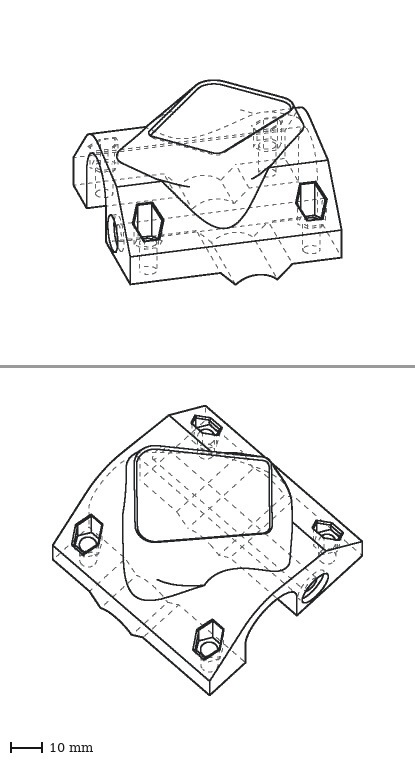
import cadquery as cq
import math

BLOCK_SIDE = 70.0
HALF = BLOCK_SIDE / 2
OVERALL_HEIGHT = 43.0
SADDLE_DROP = 5.0
BOSS_TOP = OVERALL_HEIGHT - SADDLE_DROP
SHOULDER_HEIGHT = 10.0
OVER = 0.7

CHANNEL_X = -6.8
CHANNEL_Z = 12.9
CHANNEL_RADIUS = 11.75
BACK_RADIUS = 17.9
ROOF_ANGLE = math.radians(9.8)
DIAGONAL = math.radians(45)

SADDLE_Y = -CHANNEL_X
SADDLE_TOP_HALF_WIDTH = 11.9
SADDLE_RADIUS = 10.5

BOLT_OFFSET = 27.0
BOLT_DIAMETER = 5.5
NUT_FLATS = 8.0
NUT_BEVEL = 0.5
NUT_FLOOR = SHOULDER_HEIGHT

SIDE_HOLE_X = 13.45
SIDE_HOLE_Z = 7.35
SIDE_HOLE_DIAMETER = 5.5
SIDE_BORE_DIAMETER = 12.0
SIDE_BORE_DEPTH = 2.0

BOSS_WAIST = 27.0
BOSS_HALF_LENGTH = 27.1
BOSS_HALF_WIDTH = 23.8
BOSS_END_RADIUS = 6.0
BOSS_FOOT_RADIUS = 2.8
BOSS_WAIST_RADIUS = 20.0
BOSS_TOP_CORNERS = [(-26.5, 6.4), (6.8, -22.25), (26.0, -3.2), (-0.9, 32.0)]
BOSS_TOP_RADII = [6.45, 3.0, 2.95, 6.65]
RECESS_DEPTH = 1.0
RECESS_INSET = 0.8


def rounded_outline(corners, radii, z):
    """Closed wire at height z through straight sides and one arc per corner."""
    arcs = []
    count = len(corners)
    for i in range(count):
        corner = cq.Vector(*corners[i], z)
        to_previous = (cq.Vector(*corners[i - 1], z) - corner).normalized()
        to_next = (cq.Vector(*corners[(i + 1) % count], z) - corner).normalized()
        half_angle = to_previous.getAngle(to_next) / 2
        setback = radii[i] / math.tan(half_angle)
        bisector = (to_previous + to_next).normalized()
        apex_distance = radii[i] / math.sin(half_angle) - radii[i]
        arcs.append((
            corner + to_previous * setback,
            corner + bisector * apex_distance,
            corner + to_next * setback,
        ))
    edges = []
    for i in range(count):
        start, middle, end = arcs[i]
        edges.append(cq.Edge.makeThreePointArc(start, middle, end))
        edges.append(cq.Edge.makeLine(end, arcs[(i + 1) % count][0]))
    return cq.Wire.assembleEdges(edges)


def ruled(lower, upper):
    """Solid with straight-lined walls between two closed wires."""
    return cq.Workplane(obj=cq.Solid.makeLoft([lower, upper], True))


def back_point(angle):
    """Point on the rounded back, at an angle from straight up toward +X."""
    return (CHANNEL_X + BACK_RADIUS * math.sin(angle), CHANNEL_Z + BACK_RADIUS * math.cos(angle))


def block():
    roof_x, roof_z = back_point(ROOF_ANGLE)
    slope_x, slope_z = back_point(-DIAGONAL)
    fall = math.tan(ROOF_ANGLE)
    ridge_x = (HALF + SHOULDER_HEIGHT - roof_z - fall * roof_x) / (1 - fall)
    ridge_z = HALF + SHOULDER_HEIGHT - ridge_x
    return (
        cq.Workplane("XZ", origin=(0, HALF, 0))
        .moveTo(-HALF, 0)
        .lineTo(HALF, 0)
        .lineTo(HALF, SHOULDER_HEIGHT)
        .lineTo(ridge_x, ridge_z)
        .lineTo(roof_x, roof_z)
        .threePointArc(back_point((ROOF_ANGLE - DIAGONAL) / 2), (slope_x, slope_z))
        .lineTo(-HALF, SHOULDER_HEIGHT)
        .close()
        .extrude(BLOCK_SIDE)
    )


def saddle():
    tip = SADDLE_TOP_HALF_WIDTH - SADDLE_DROP
    rise = SADDLE_RADIUS - math.sqrt(SADDLE_RADIUS**2 - tip**2)
    return (
        cq.Workplane("YZ", origin=(-HALF, SADDLE_Y, 0))
        .moveTo(-SADDLE_TOP_HALF_WIDTH, 0)
        .lineTo(-tip, -SADDLE_DROP)
        .threePointArc((0, rise - SADDLE_DROP), (tip, -SADDLE_DROP))
        .lineTo(SADDLE_TOP_HALF_WIDTH, 0)
        .close()
        .extrude(BLOCK_SIDE)
    )


def boss():
    far = (BOSS_HALF_LENGTH + BOSS_HALF_WIDTH) * math.sin(DIAGONAL)
    near = (BOSS_HALF_LENGTH - BOSS_HALF_WIDTH) * math.sin(DIAGONAL)
    corners = [(-far, near), (near, -far), (far, -near), (-near, far)]
    foot_radii = [BOSS_FOOT_RADIUS, BOSS_END_RADIUS] * 2
    waist_radii = [BOSS_WAIST_RADIUS, BOSS_END_RADIUS] * 2
    foot = rounded_outline(corners, foot_radii, 0)
    waist = rounded_outline(corners, waist_radii, BOSS_WAIST)
    rim = rounded_outline(BOSS_TOP_CORNERS, BOSS_TOP_RADII, BOSS_TOP)
    return ruled(foot, waist).union(ruled(waist, rim))


def boss_recess():
    """Shallow dish whose sloping wall starts at the outer rim of the boss."""
    rim = rounded_outline(BOSS_TOP_CORNERS, BOSS_TOP_RADII, BOSS_TOP)
    floor = rim.offset2D(-RECESS_INSET)[0].translate(cq.Vector(0, 0, -RECESS_DEPTH))
    return ruled(floor, rim)


def channel():
    return (
        cq.Workplane("XZ", origin=(CHANNEL_X, HALF + OVER, 0))
        .moveTo(-CHANNEL_RADIUS, -SADDLE_DROP - OVER)
        .lineTo(CHANNEL_RADIUS, -SADDLE_DROP - OVER)
        .lineTo(CHANNEL_RADIUS, CHANNEL_Z)
        .threePointArc((0, CHANNEL_Z + CHANNEL_RADIUS), (-CHANNEL_RADIUS, CHANNEL_Z))
        .close()
        .extrude(BLOCK_SIDE + 2 * OVER)
    )


def side_hole():
    face = cq.Workplane("XZ", origin=(SIDE_HOLE_X, -HALF, SIDE_HOLE_Z))
    hole = face.circle(SIDE_HOLE_DIAMETER / 2).extrude(-BLOCK_SIDE)
    return hole.union(face.circle(SIDE_BORE_DIAMETER / 2).extrude(-SIDE_BORE_DEPTH))


def hexagon(flats):
    """Corners of a hexagon with two flats facing along X."""
    radius = flats / math.sqrt(3)
    angles = [math.radians(30 + 60 * i) for i in range(6)]
    return [(radius * math.cos(a), radius * math.sin(a)) for a in angles]


def mouth_section(depth):
    """Section of the flared pocket mouth on a plane sunk by depth square to the -X slope.

    Seen from above it is a true hexagon. Its walls close in by as much as the section sinks,
    and it is moved down the slope so that the flare bevels all six pocket edges evenly.
    """
    centre_x = -BOLT_OFFSET - NUT_BEVEL * math.sin(DIAGONAL)
    centre_z = HALF + SHOULDER_HEIGHT + centre_x - depth / math.cos(DIAGONAL)
    points = []
    for x, y in hexagon(NUT_FLATS + 2 * (NUT_BEVEL - depth)):
        points.append(cq.Vector(centre_x + x, y, centre_z + x))
    return cq.Wire.makePolygon(points, close=True)


def bolt_cut():
    """Bolt hole, nut pocket and flared pocket mouth, on the -X slope at Y = 0."""
    axis = cq.Workplane(origin=(-BOLT_OFFSET, 0, 0))
    hole = axis.circle(BOLT_DIAMETER / 2).extrude(BOSS_TOP)
    pocket = axis.workplane(offset=NUT_FLOOR).polyline(hexagon(NUT_FLATS)).close().extrude(BOSS_TOP)
    mouth = ruled(mouth_section(2 * NUT_BEVEL), mouth_section(-OVER))
    return hole.union(pocket).union(mouth)


result = block().union(saddle()).union(boss())
result = result.cut(channel()).cut(boss_recess()).cut(side_hole())
left_bolt = bolt_cut()
for bolt in (left_bolt, left_bolt.mirror("YZ")):
    for bolt_y in (-BOLT_OFFSET, BOLT_OFFSET):
        result = result.cut(bolt.translate((0, bolt_y, 0)))
result = cq.Workplane(result.solids().val())